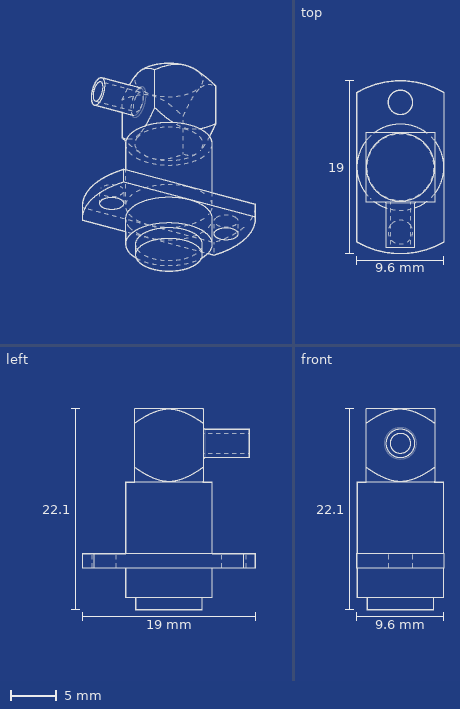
import cadquery as cq

total_height = 22.07

body_diameter = 9.5
body_top = 14.01
spigot_diameter = 7.3
spigot_height = 1.35

flange_width = 9.6
flange_diameter = 18.98
flange_bottom = 4.57
flange_thickness = 1.61
mount_hole_diameter = 2.65
mount_hole_offset = 7.1

head_width = 7.6
head_height = total_height - body_top
head_flat_diameter = 7.45

tube_diameter = 3.13
tube_bore = 2.2
tube_length = 5.0
tube_axis_z = 18.25
tube_root_fillet = 0.18


def make_body():
    spigot = cq.Workplane("XY").circle(spigot_diameter / 2).extrude(spigot_height)
    barrel = (
        cq.Workplane("XY", origin=(0, 0, spigot_height))
        .circle(body_diameter / 2)
        .extrude(body_top - spigot_height)
    )
    return spigot.union(barrel)


def make_flange():
    base = cq.Workplane("XY", origin=(0, 0, flange_bottom))
    disc = base.circle(flange_diameter / 2).extrude(flange_thickness)
    strip = base.rect(flange_width, flange_diameter).extrude(flange_thickness)
    holes = (
        base.pushPoints([(0, -mount_hole_offset), (0, mount_hole_offset)])
        .circle(mount_hole_diameter / 2)
        .extrude(flange_thickness)
    )
    return disc.intersect(strip).cut(holes)


def make_head():
    base = cq.Workplane("XY", origin=(0, 0, body_top))
    block = base.rect(head_width, head_width).extrude(head_height)
    half_height = head_height / 2
    flat_radius = head_flat_diameter / 2
    waist_radius = flat_radius + half_height
    double_cone = (
        cq.Workplane("XZ", origin=(0, 0, body_top))
        .lineTo(flat_radius, 0)
        .lineTo(waist_radius, half_height)
        .lineTo(flat_radius, head_height)
        .lineTo(0, head_height)
        .close()
        .revolve(360, (0, 0, 0), (0, 1, 0))
    )
    return block.intersect(double_cone)


def add_tube(head):
    front_y = -head_width / 2
    head_face = cq.Workplane("XZ", origin=(0, front_y, tube_axis_z))
    tube = head_face.circle(tube_diameter / 2).extrude(tube_length)
    bore = head_face.circle(tube_bore / 2).extrude(tube_length)
    root_point = (0, front_y, tube_axis_z)
    root_edge = cq.selectors.NearestToPointSelector(root_point)
    filleted = head.union(tube).edges("%CIRCLE").edges(root_edge).fillet(tube_root_fillet)
    return filleted.cut(bore)


result = make_body().union(make_flange()).union(add_tube(make_head()))